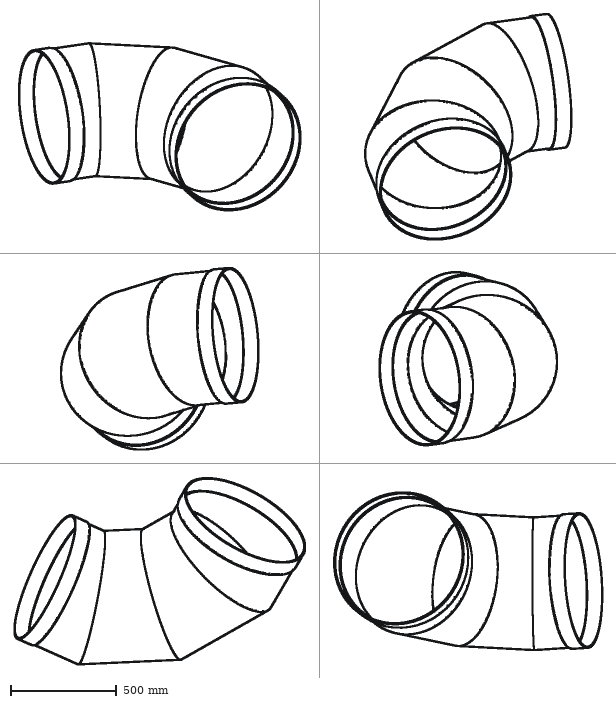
import cadquery as cq
import math

OVERALL_LENGTH = 1027.0
COLLAR_DIAMETER = 642.0
TUBE_BORE = 618.0
TUBE_DIAMETER = (COLLAR_DIAMETER + TUBE_BORE) / 2
COLLAR_LENGTH = 76.0
SOCKET_DEPTH = 73.0
BEND_RADIUS = TUBE_DIAMETER
BEND_ANGLE = 90.0
GORE_ANGLE = 30.0

END_LENGTH = OVERALL_LENGTH - BEND_RADIUS - COLLAR_DIAMETER / 2
MIDDLE_GORE_COUNT = round(BEND_ANGLE / GORE_ANGLE) - 1
OUTER_REACH = BEND_RADIUS + COLLAR_DIAMETER
HALF_WIDTH = OUTER_REACH * math.tan(math.radians(GORE_ANGLE / 2))


def rod(diameter, start, length):
    """Cylinder along +Y on the duct axis, beginning at Y = start."""
    base = cq.Workplane("XZ", origin=(-BEND_RADIUS, start, 0))
    return base.circle(diameter / 2).extrude(-length)


def mitre_prism(outline):
    """Thick plate with the given plan outline, taller than the duct."""
    return cq.Workplane("XY").polyline(outline).close().extrude(COLLAR_DIAMETER, both=True)


def middle_gore():
    """Tube mitred at both ends by planes through the bend centre."""
    tube = rod(TUBE_DIAMETER, -HALF_WIDTH, 2 * HALF_WIDTH)
    tube = tube.cut(rod(TUBE_BORE, -HALF_WIDTH, 2 * HALF_WIDTH))
    wedge = mitre_prism([(0, 0), (-OUTER_REACH, HALF_WIDTH), (-OUTER_REACH, -HALF_WIDTH)])
    return tube.intersect(wedge)


def end_gore():
    """Inlet tube with one mitred end and a wider socket collar at its open end."""
    full_length = END_LENGTH + HALF_WIDTH
    tube = rod(TUBE_DIAMETER, -END_LENGTH, full_length)
    collar = rod(COLLAR_DIAMETER, -END_LENGTH, COLLAR_LENGTH)
    bore = rod(TUBE_BORE, -END_LENGTH, full_length)
    socket = rod(TUBE_DIAMETER, -END_LENGTH, SOCKET_DEPTH)
    wedge = mitre_prism(
        [(0, 0), (-OUTER_REACH, HALF_WIDTH), (-OUTER_REACH, -END_LENGTH), (0, -END_LENGTH)]
    )
    return tube.union(collar).cut(bore).cut(socket).intersect(wedge)


middle_gores = []
for step in range(1, MIDDLE_GORE_COUNT + 1):
    gore = middle_gore().rotate((0, 0, 0), (0, 0, 1), -step * GORE_ANGLE)
    middle_gores.append(gore.val())

inlet = end_gore()
outlet = inlet.mirror("XZ").rotate((0, 0, 0), (0, 0, 1), -BEND_ANGLE)

result = cq.Compound.makeCompound([inlet.val(), outlet.val(), *middle_gores])